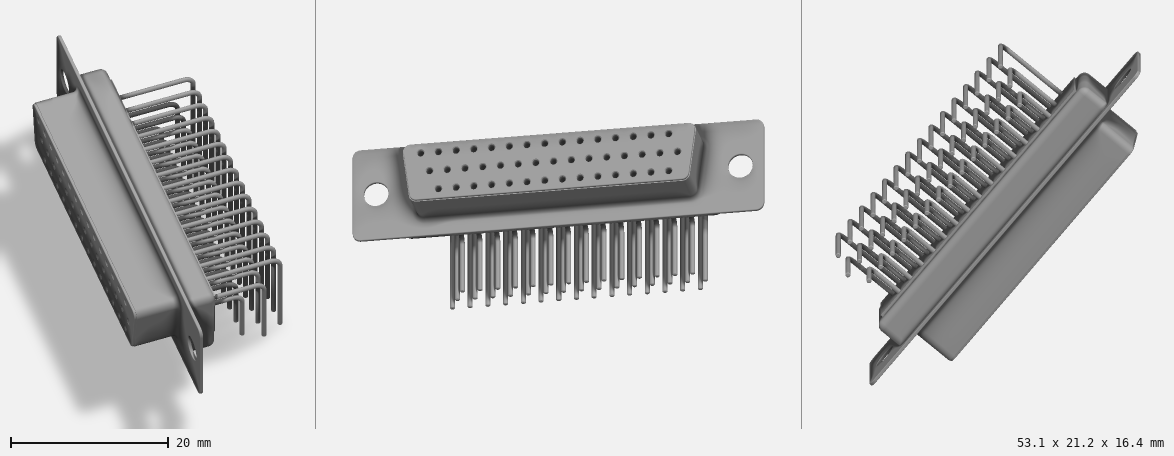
import cadquery as cq
import math

flange_length = 53.1
overall_height = 16.4
flange_height = 12.5
flange_thickness = 0.45
flange_corner_radius = 1.0
mount_hole_diameter = 3.2
mount_hole_spacing = 47.05
flange_edge_fillet = 0.1

side_slope = 7.5
d_corner_radius = 1.0
shell_width = 37.85
shell_height = 7.9
shell_depth = 5.75
shell_base_fillet = 0.6
insert_step = 0.1
insert_projection = 0.3
insert_edge_fillet = 0.1

housing_width = 41.05
housing_height = 9.95
housing_depth = 3.95
housing_edge_radius = 0.95
rear_pad_width = 38.25
rear_pad_height = 6.95
rear_pad_thickness = 0.35

full_row_count = 15
full_row_length = 32.0
contact_pitch = full_row_length / (full_row_count - 1)
row_spacing = 2.55
row_shift = contact_pitch / 4
socket_diameter = 0.85
socket_depth = 4.8
socket_mouth_chamfer = 0.1
mouth_angle = 45

pin_diameter = 0.65
pin_bend_radius = 1.3
pin_tip_chamfer = 0.1
top_pin_back = 15.15

front_y = -(shell_depth + insert_projection)
flange_back = flange_thickness
housing_back = flange_back + housing_depth
pad_back = housing_back + rear_pad_thickness
pin_tip_z = flange_height / 2 - overall_height
top_pin_y = top_pin_back - pin_diameter / 2

contact_rows = [
    (row_spacing, full_row_count, -row_shift),
    (0, full_row_count, row_shift),
    (-row_spacing, full_row_count - 1, row_shift),
]


def row_positions(count, shift):
    """X positions of the contacts in one row."""
    first = shift - contact_pitch * (count - 1) / 2
    return [first + contact_pitch * i for i in range(count)]


def plane_at(y):
    """Sketch plane facing -Y at the given Y, with X to the right and Z up."""
    return cq.Workplane("XZ", origin=(0, y, 0))


def d_body(width, height, corner_radius, y_front, y_back):
    """D-shaped block, wider at the top, between two Y positions."""
    slope = math.radians(side_slope)
    half_height = height / 2
    corner_loss = corner_radius * (math.tan(math.pi / 4 + slope / 2) - 1)
    top = width / 2 + corner_loss
    bottom = top - height * math.tan(slope)
    outline = [(-top, half_height), (top, half_height), (bottom, -half_height), (-bottom, -half_height)]
    body = plane_at(y_back).polyline(outline).close().extrude(y_back - y_front)
    return body.edges("|Y").fillet(corner_radius)


def make_flange():
    """Plate with two mounting holes and all face edges rounded."""
    plate = plane_at(flange_back).rect(flange_length, flange_height).extrude(flange_thickness)
    plate = plate.edges("|Y").fillet(flange_corner_radius)
    hole_points = [(-mount_hole_spacing / 2, 0), (mount_hole_spacing / 2, 0)]
    holes = plane_at(flange_back).pushPoints(hole_points).circle(mount_hole_diameter / 2)
    plate = plate.cut(holes.extrude(flange_thickness))
    return plate.faces("<Y or >Y").edges().fillet(flange_edge_fillet)


def make_pin(x, z, y_drop):
    """Bent round pin from the housing back to its tip below."""
    bend_offset = pin_bend_radius * (1 - math.sqrt(0.5))
    path = (
        cq.Workplane("YZ", origin=(x, 0, 0))
        .moveTo(housing_back, z)
        .lineTo(y_drop - pin_bend_radius, z)
        .threePointArc((y_drop - bend_offset, z - bend_offset), (y_drop, z - pin_bend_radius))
        .lineTo(y_drop, pin_tip_z)
    )
    pin = plane_at(housing_back).center(x, z).circle(pin_diameter / 2).sweep(path)
    return pin.faces("<Z").chamfer(pin_tip_chamfer)


shell = d_body(shell_width, shell_height, d_corner_radius, -shell_depth, flange_back)
result = make_flange().union(shell)
flange_front = result.faces("<Y[1]").val()
shell_root = max(flange_front.innerWires(), key=lambda loop: loop.BoundingBox().xlen)
result = result.newObject(shell_root.Edges()).fillet(shell_base_fillet)

insert = d_body(
    shell_width - 2 * insert_step,
    shell_height - 2 * insert_step,
    d_corner_radius - insert_step,
    front_y,
    0,
)
result = result.union(insert.faces("<Y").edges().fillet(insert_edge_fillet))

housing = plane_at(housing_back).rect(housing_width, housing_height).extrude(housing_depth)
housing = housing.edges("|Y").fillet(housing_edge_radius)
housing = housing.faces(">Y").edges().fillet(housing_edge_radius)
rear_pad = plane_at(pad_back).rect(rear_pad_width, rear_pad_height).extrude(rear_pad_thickness)
result = result.union(housing).union(rear_pad)

for z, count, shift in contact_rows:
    columns = row_positions(count, shift)
    points = [(x, z) for x in columns]
    sockets = plane_at(front_y + socket_depth).pushPoints(points).circle(socket_diameter / 2)
    result = result.cut(sockets.extrude(socket_depth))
    mouths = plane_at(front_y + socket_mouth_chamfer).pushPoints(points).circle(socket_diameter / 2)
    mouths = mouths.extrude(socket_mouth_chamfer, taper=-mouth_angle)
    result = result.cut(mouths)

    y_drop = top_pin_y - (row_spacing - z)
    for x in columns:
        result = result.union(make_pin(x, z, y_drop))